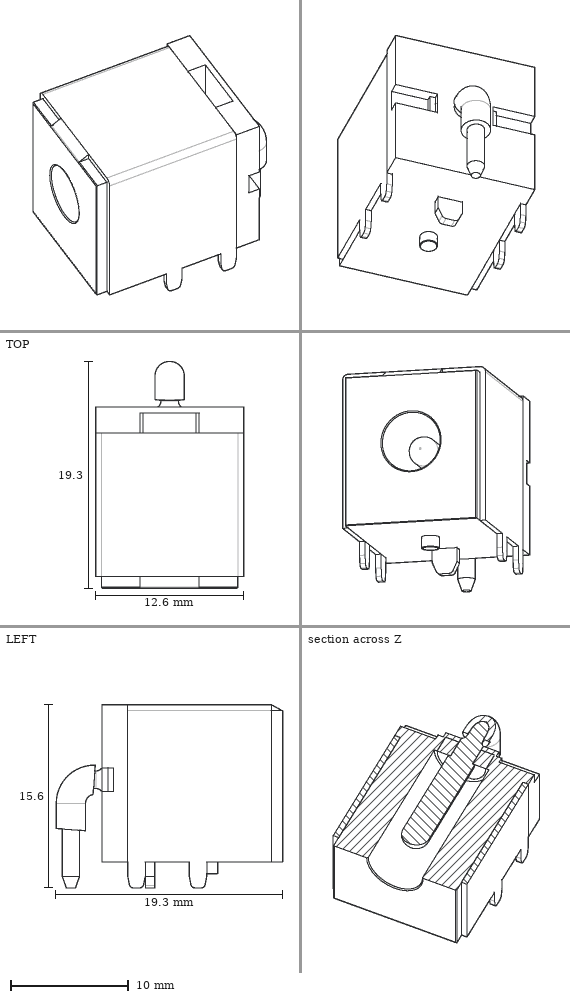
import cadquery as cq
import math


width = 12.6
height = 13.4
total_length = 19.3
lead_length = 2.2

sheet = 0.5
shell_front = 1.0
shell_rear = 13.22
leg_width = 1.5
front_leg_start = 6.48
lead_taper_start = 1.2
leg_taper = 0.2
lead_tip_radius = 0.39

housing_rear = 15.42
face_chamfer_depth = 0.1
face_chamfer_inset = 0.05
key_width = 5.02
window_rear = 14.9
window_floor = 7.4
notch_height = 2.0
notch_front = 14.42
notch_step = 0.5
peg_diameter = 1.5
peg_length = 1.0
peg_front = 5.55
peg_chamfer = 0.05

bore_diameter = 5.1
bore_mouth_diameter = 5.3
axis_height = 7.0

insert_diameter = 4.55
insert_flat_drop = 1.99

pin_diameter = 2.5
pin_tip_y = 3.0
pin_tip_flat = 0.08
collar_diameter = 2.0
rod_diameter = 1.5
flare_length = 0.5
bend_radius = 2.0
rod_point_length = 1.0
rod_point_diameter = 0.8
sleeve_start = 16.05
sleeve_end = 2.76
sleeve_tilt = 4.4
trim_margin = 0.5

blade_front = 10.9
blade_rear = shell_rear - leg_width
blade_width = 2.2
blade_taper = 0.46
blade_seat_depth = 2.0

inner_width = width - 2 * sheet
inner_height = height - sheet
tail_y = total_length - pin_diameter / 2
bend_start = tail_y - bend_radius
bend_end = axis_height - bend_radius


def box(x_range, y_range, z_range):
    """Block between pairs of limits along X, Y and Z."""
    limits = (x_range, y_range, z_range)
    sizes = [high - low for low, high in limits]
    corner = [low for low, high in limits]
    return cq.Workplane("XY").box(*sizes, centered=False).translate(tuple(corner))


def centred_box(x_size, y_range, z_range):
    """Block that is symmetric about X = 0."""
    return box((-x_size / 2, x_size / 2), y_range, z_range)


def axial_cylinder(diameter, y_start, y_end):
    """Cylinder on the plug axis."""
    return (
        cq.Workplane("XZ", origin=(0, y_start, axis_height))
        .circle(diameter / 2)
        .extrude(y_start - y_end)
    )


def lead(plane, origin, lead_width, thickness, top, taper):
    """Flat lead from `top` down to the lead ends, tapered and rounded at its tip."""
    half = lead_width / 2
    return (
        cq.Workplane(plane, origin=origin)
        .moveTo(-half, top)
        .lineTo(half, top)
        .lineTo(half, -lead_taper_start)
        .lineTo(half - taper, -lead_length)
        .lineTo(-half + taper, -lead_length)
        .lineTo(-half, -lead_taper_start)
        .close()
        .extrude(thickness)
        .faces("<Z")
        .edges("|X" if plane == "YZ" else "|Y")
        .fillet(lead_tip_radius)
    )


def make_shell():
    """Bent sheet cover over the top and both sides, with two legs on each side."""
    y_range = (shell_front, shell_rear)
    shell = centred_box(width, y_range, (0, height)).edges("|Y and >Z").fillet(sheet)
    shell = shell.cut(centred_box(inner_width, y_range, (0, inner_height)))
    for leg_start in (front_leg_start, shell_rear - leg_width):
        for sheet_x in (-width / 2, width / 2 - sheet):
            origin = (sheet_x, leg_start + leg_width / 2, 0)
            shell = shell.union(lead("YZ", origin, leg_width, sheet, sheet, leg_taper))
    return shell


def make_blade():
    """Flat ground contact whose upper end is seated in the housing floor."""
    thickness = blade_rear - blade_front
    return lead("XZ", (0, blade_rear, 0), blade_width, thickness, blade_seat_depth, blade_taper)


def make_insert_blank():
    """Disc with a flat along its underside."""
    radius = insert_diameter / 2
    disc = axial_cylinder(insert_diameter, shell_rear, window_rear)
    above_flat = (axis_height - insert_flat_drop, axis_height + radius)
    return disc.intersect(centred_box(insert_diameter, (shell_rear, window_rear), above_flat))


def make_insert():
    """Holder around the collar of the centre pin."""
    return make_insert_blank().cut(axial_cylinder(collar_diameter, shell_rear, window_rear))


def make_housing():
    """Moulded block inside the shell, with a full-size rear wall."""
    front = centred_box(inner_width, (0, shell_rear), (0, inner_height))
    front = front.faces("<Y").chamfer(face_chamfer_inset, face_chamfer_depth)
    housing = front.union(centred_box(width, (shell_rear, housing_rear), (0, height)))
    housing = housing.union(make_key()).union(make_peg())
    housing = cut_bore(housing)
    housing = housing.cut(centred_box(key_width, (shell_rear, window_rear), (window_floor, height)))
    housing = housing.cut(make_insert_blank())
    housing = cut_notches(housing)
    return housing.cut(centred_box(blade_width, (blade_front, blade_rear), (0, blade_seat_depth)))


def make_key():
    """Sloped wedge on top of the plug face, in front of the shell."""
    return (
        cq.Workplane("YZ", origin=(-key_width / 2, 0, 0))
        .moveTo(face_chamfer_depth, inner_height)
        .lineTo(shell_front, inner_height)
        .lineTo(shell_front, height)
        .close()
        .extrude(key_width)
    )


def make_peg():
    """Locating peg under the housing."""
    return (
        cq.Workplane("XY", origin=(0, peg_front + peg_diameter / 2, 0))
        .circle(peg_diameter / 2)
        .extrude(-peg_length)
        .faces("<Z")
        .chamfer(peg_chamfer)
    )


def cut_bore(housing):
    """Plug bore with a chamfered mouth, then the collar hole through the rear wall."""
    mouth_chamfer = (bore_mouth_diameter - bore_diameter) / 2
    mouth = cq.Solid.makeCone(
        bore_mouth_diameter / 2,
        bore_diameter / 2,
        mouth_chamfer,
        cq.Vector(0, 0, axis_height),
        cq.Vector(0, 1, 0),
    )
    housing = housing.cut(axial_cylinder(bore_diameter, 0, shell_rear)).cut(mouth)
    return housing.cut(axial_cylinder(collar_diameter, window_rear, housing_rear))


def cut_notches(housing):
    """Stepped notch in each rear side edge, level with the plug axis."""
    z_range = (axis_height - notch_height / 2, axis_height + notch_height / 2)
    deep_x = key_width / 2
    shallow_x = deep_x + notch_step
    for floor_x, y_range in (
        (shallow_x, (notch_front, window_rear)),
        (deep_x, (window_rear, housing_rear)),
    ):
        housing = housing.cut(box((-width / 2, -floor_x), y_range, z_range))
        housing = housing.cut(box((floor_x, width / 2), y_range, z_range))
    return housing


def bent_rod(diameter, y_start, z_end):
    """Round bar that follows the plug axis, then bends down along the tail axis."""
    path = (
        cq.Workplane("YZ")
        .moveTo(y_start, axis_height)
        .lineTo(bend_start, axis_height)
        .tangentArcPoint((tail_y, bend_end), relative=False)
        .lineTo(tail_y, z_end)
    )
    return cq.Workplane("XZ", origin=(0, y_start, axis_height)).circle(diameter / 2).sweep(path)


def make_pin():
    """Turned contact pin with a domed tip, a collar, a flared neck and a bent tail."""
    pin_radius = pin_diameter / 2
    dome = pin_radius - pin_tip_flat
    dome_middle = dome * math.sqrt(0.5)
    rod_radius = rod_diameter / 2
    collar_radius = collar_diameter / 2
    flare_end = housing_rear + flare_length
    flare_rise = collar_radius - rod_radius
    flare_radius = (flare_length**2 + flare_rise**2) / (2 * flare_rise)
    half_sweep = math.asin(flare_length / flare_radius) / 2
    flare_middle = (
        rod_radius + flare_radius * (1 - math.cos(half_sweep)),
        flare_end - flare_radius * math.sin(half_sweep),
    )
    turned = (
        cq.Workplane("XY")
        .moveTo(0, pin_tip_y)
        .lineTo(pin_tip_flat, pin_tip_y)
        .threePointArc(
            (pin_tip_flat + dome_middle, pin_tip_y + dome - dome_middle),
            (pin_radius, pin_tip_y + dome),
        )
        .lineTo(pin_radius, shell_rear)
        .lineTo(collar_radius, shell_rear)
        .lineTo(collar_radius, housing_rear)
        .threePointArc(flare_middle, (rod_radius, flare_end))
        .lineTo(0, flare_end)
        .close()
        .revolve(360, (0, 0, 0), (0, 1, 0))
        .translate((0, 0, axis_height))
    )
    tail = bent_rod(rod_diameter, flare_end, rod_point_length - lead_length)
    point = cq.Solid.makeCone(
        rod_diameter / 2,
        rod_point_diameter / 2,
        rod_point_length,
        cq.Vector(0, tail_y, rod_point_length - lead_length),
        cq.Vector(0, 0, -1),
    )
    return turned.union(tail).union(cq.Workplane(point))


def make_sleeve():
    """Elbow sleeve around the bend of the centre pin, with slanted ends."""
    slant = pin_diameter / 2 * math.tan(math.radians(sleeve_tilt))
    sleeve = bent_rod(pin_diameter, sleeve_start - slant, sleeve_end - slant)
    sleeve = sleeve.cut(bent_rod(rod_diameter, sleeve_start - slant, sleeve_end - slant))
    trim_size = pin_diameter + trim_margin
    trim_block = cq.Workplane("XY").box(trim_size, trim_size, trim_size)
    inner_trim = (
        trim_block.translate((0, -trim_size / 2, 0))
        .rotate((0, 0, 0), (1, 0, 0), sleeve_tilt)
        .translate((0, sleeve_start, axis_height))
    )
    lower_trim = (
        trim_block.translate((0, 0, -trim_size / 2))
        .rotate((0, 0, 0), (1, 0, 0), sleeve_tilt)
        .translate((0, tail_y, sleeve_end))
    )
    return sleeve.cut(inner_trim).cut(lower_trim)


shell = make_shell()
blade = make_blade()
insert = make_insert()
housing = make_housing()
pin = make_pin()
sleeve = make_sleeve()

bodies = (housing, shell, insert, pin, sleeve, blade)
result = cq.Compound.makeCompound([body.solids().val() for body in bodies])